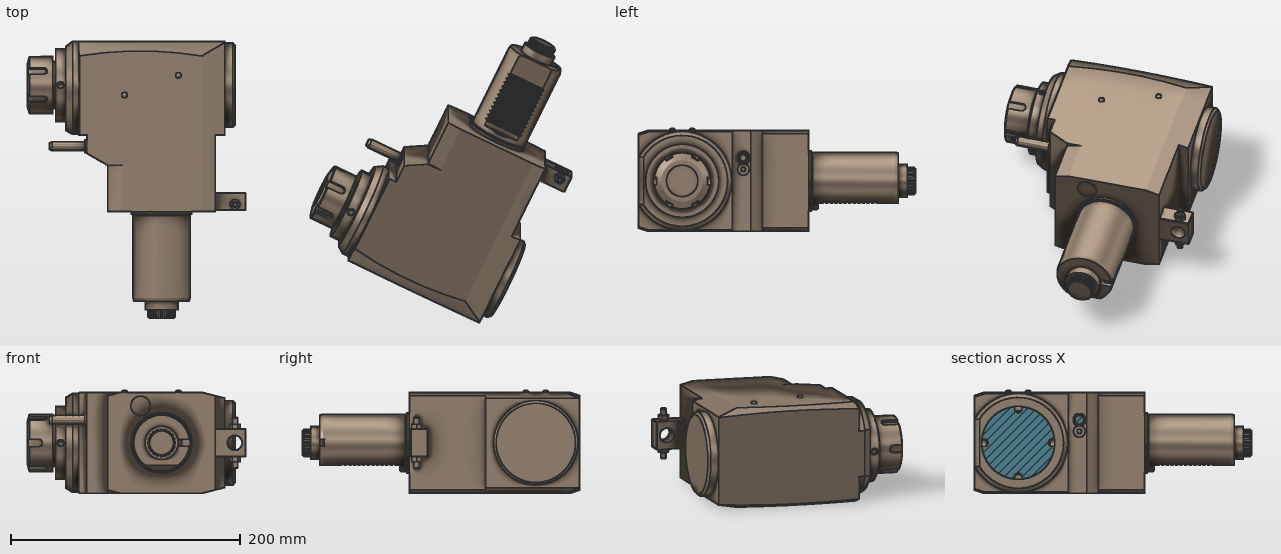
import cadquery as cq
import math


half_height = 44.0
back_y = 148.0
spindle_y = 110.0
head_left_x = -72.0
head_right_x = 55.0
head_front_y = 66.5
waist_left_x = -65.0
waist_corner_y = 50.5
foot_left_x = -47.0
foot_back_y = 40.2
foot_right_x = 46.7

right_bevel_start_x = 35.0
right_bevel_drop = 5.1
foot_bevel_width = 12.3
foot_bevel_drop = 3.0
head_edge_width = 0.7
head_edge_drop = 1.4

back_cone_x = -18.5
back_cone_radius = 327.0
back_bevel_depth = 8.3
back_cone_run_per_drop = 3.0

ring_left_x = -83.3
ring_shoulder_x = -77.4
ring_radius = 43.0
ring_face_radius = 39.5
ring_flat_face_offset = 33.6
flange_left_x = -92.3
flange_radius = 31.8
flange_hole_radius = 2.9
flange_hole_depth = 4.0
flange_hole_cone_depth = 1.7
neck_radius = 20.8
nut_left_x = -116.9
nut_right_x = -94.8
nut_radius = 25.0
nut_mouth_radius = 18.0
nut_face_depth = 1.6
nut_edge = 0.7
mouth_bore_radius = 13.7
mouth_bore_depth = 1.6
nut_slot_width = 6.6
nut_slot_floor_radius = 22.0
side_slot_end_x = -103.8
other_slot_end_x = -99.7
nut_slot_count = 6
cap_right_x = 64.0
cap_radius = 36.7
cap_chamfer = 2.2

collar_radius = 26.4
collar_length = 2.5
shank_radius = 25.0
shank_end_y = -78.0
shank_lead_length = 1.2
shank_lead_depth = 0.4
shank_chamfer_length = 2.8
shank_chamfer_depth = 0.8
shank_flat_z = -19.5
shank_flat_start_y = -8.2
flat_lip_chamfer = 1.2
rack_first_y = -13.8
rack_pitch = 4.0
rack_count = 12
rack_groove_width = 2.6
rack_groove_depth = 1.4
key_slot_width = 6.0
key_slot_depth = 4.0
key_slot_inner_depth = 6.0
key_slot_step_radius = 17.4
journal_radius = 14.4
journal_end_y = -85.6
spline_radius = 11.9
spline_root_radius = 10.5
spline_end_y = -93.0
spline_chamfer = 1.5
spline_tooth_count = 20

pin_y = 56.8
pin_z = 20.0
pin_radius = 4.0
pin_tip_radius = 2.8
pin_tip_x = -97.6
pin_tip_length = 2.4
pin_collar_radius = 5.5
pin_collar_length = 2.0
plug_z = 10.0
plug_radius = 5.1
plug_height = 1.2
plug_hole_radius = 2.0

block_right_x = 73.2
block_front_y = 1.0
block_back_y = 16.2
block_half_height = 12.3
block_chamfer = 0.6
block_hole_x = 63.6
block_hole_radius = 6.4
screw_x = 63.9
screw_y = 6.2
screw_radius = 2.4
screw_tip_chamfer = 0.8
screw_top_z = 22.3
hex_corner_diameter = 9.3
hex_height = 4.0

stud_places = [(-32.3, 101.3), (14.6, 118.5)]
stud_radius = 2.4
stud_height = 1.6
recess_x = -18.3
recess_z = 32.2
recess_radius = 8.5
recess_depth = 1.0

overlap = 2.0


def turned_on_spindle(profile):
    """Revolve (x, radius) points about the spindle axis."""
    turned = cq.Workplane("XY").polyline(profile).close().revolve(360, (0, 0, 0), (1, 0, 0))
    return turned.translate((0, spindle_y, 0))


def turned_on_shank(profile):
    """Revolve (radius, y) points about the shank axis."""
    return cq.Workplane("XY").polyline(profile).close().revolve(360, (0, 0, 0), (0, 1, 0))


def x_cylinder(start_x, end_x, y, z, radius):
    start = cq.Vector(start_x, y, z)
    return cq.Workplane(cq.Solid.makeCylinder(radius, end_x - start_x, start, cq.Vector(1, 0, 0)))


def box_between(low, high):
    size = [b - a for a, b in zip(low, high)]
    return cq.Workplane("XY").box(*size, centered=False).translate(low)


def edge_wedge(start, end, start_y, end_y):
    """Upper-edge bevel between (x, z) points start and end, outer corner included."""
    corner = (end[0], start[1])
    wedge = cq.Workplane("XZ").polyline([start, corner, end]).close().extrude(start_y - end_y)
    return wedge.translate((0, start_y, 0))


def make_housing():
    outline = [
        (head_left_x, back_y),
        (head_right_x, back_y),
        (head_right_x, head_front_y),
        (foot_right_x, head_front_y),
        (foot_right_x, 0),
        (foot_left_x, 0),
        (foot_left_x, foot_back_y),
        (waist_left_x, waist_corner_y),
        (waist_left_x, head_front_y),
        (head_left_x, head_front_y),
    ]
    housing = cq.Workplane("XY").polyline(outline).close().extrude(half_height, both=True)

    equator_radius = back_cone_radius + back_cone_run_per_drop * half_height
    cone_profile = [
        (0, -half_height),
        (back_cone_radius, -half_height),
        (equator_radius, 0),
        (back_cone_radius, half_height),
        (0, half_height),
    ]
    cone = cq.Workplane("XZ").polyline(cone_profile).close().revolve(360, (0, 0, 0), (0, 1, 0))
    cone_y = back_y - back_bevel_depth - back_cone_radius
    housing = housing.intersect(cone.translate((back_cone_x, cone_y, 0)))

    right_bevel = edge_wedge(
        (right_bevel_start_x, half_height),
        (head_right_x, half_height - right_bevel_drop),
        0,
        back_y,
    )
    foot_bevel = edge_wedge(
        (foot_left_x + foot_bevel_width, half_height),
        (foot_left_x, half_height - foot_bevel_drop),
        0,
        foot_back_y,
    )
    head_bevel = edge_wedge(
        (head_left_x + head_edge_width, half_height),
        (head_left_x, half_height - head_edge_drop),
        head_front_y,
        back_y,
    )
    for bevel in (right_bevel, foot_bevel, head_bevel):
        housing = housing.cut(bevel).cut(bevel.mirror("XY"))

    recess = cq.Workplane("XZ").center(recess_x, recess_z).circle(recess_radius).extrude(-recess_depth)
    return housing.cut(recess)


def make_bearing_ring():
    ring = turned_on_spindle([
        (ring_left_x, 0),
        (ring_left_x, ring_face_radius),
        (ring_shoulder_x, ring_radius),
        (head_left_x + overlap, ring_radius),
        (head_left_x + overlap, 0),
    ])
    inner_x = head_left_x + overlap
    outer_y = spindle_y + ring_radius + overlap
    relief = [
        (ring_left_x, spindle_y + ring_flat_face_offset),
        (ring_shoulder_x, back_y),
        (inner_x, back_y),
        (inner_x, outer_y),
        (ring_left_x, outer_y),
    ]
    cutter = cq.Workplane("XY").polyline(relief).close().extrude(ring_radius, both=True)
    return ring.cut(cutter)


def make_flange():
    flange = turned_on_spindle([
        (flange_left_x, 0),
        (flange_left_x, flange_radius),
        (ring_left_x + overlap, flange_radius),
        (ring_left_x + overlap, 0),
    ])
    hole_x = (flange_left_x + ring_left_x) / 2
    floor_radius = flange_radius - flange_hole_depth
    hole_floor = cq.Workplane("XY", origin=(hole_x, spindle_y, floor_radius))
    hole = hole_floor.circle(flange_hole_radius).extrude(2 * flange_hole_depth)
    drill_point = cq.Solid.makeCone(
        flange_hole_radius,
        0,
        flange_hole_cone_depth,
        cq.Vector(hole_x, spindle_y, floor_radius),
        cq.Vector(0, 0, -1),
    )
    hole = hole.union(cq.Workplane(drill_point))
    for quarter in range(4):
        flange = flange.cut(hole.rotate((0, spindle_y, 0), (1, spindle_y, 0), 90 * quarter))
    return flange


def make_nut_slot(end_x):
    """Round-ended slot cutter on the -Y side of the nut."""
    radius = nut_slot_width / 2
    open_x = nut_left_x - overlap
    centre_x = end_x - radius
    slot = (
        cq.Workplane("XZ")
        .moveTo(open_x, -radius)
        .lineTo(centre_x, -radius)
        .threePointArc((end_x, 0), (centre_x, radius))
        .lineTo(open_x, radius)
        .close()
        .extrude(nut_radius)
    )
    return slot.translate((0, spindle_y - nut_slot_floor_radius, 0))


def make_collet_nut():
    rim_x = nut_left_x + nut_face_depth
    nut = turned_on_spindle([
        (nut_left_x, 0),
        (nut_left_x, nut_mouth_radius),
        (rim_x, nut_radius - nut_edge),
        (rim_x + nut_edge, nut_radius),
        (nut_right_x, nut_radius),
        (nut_right_x, neck_radius),
        (flange_left_x + overlap, neck_radius),
        (flange_left_x + overlap, 0),
    ])
    for index in range(nut_slot_count):
        on_side = index % (nut_slot_count // 2) == 0
        slot = make_nut_slot(side_slot_end_x if on_side else other_slot_end_x)
        angle = 360 / nut_slot_count * index
        nut = nut.cut(slot.rotate((0, spindle_y, 0), (1, spindle_y, 0), angle))

    bore_end_x = nut_left_x + mouth_bore_depth
    return nut.cut(x_cylinder(nut_left_x, bore_end_x, spindle_y, 0, mouth_bore_radius))


def make_bearing_cap():
    return turned_on_spindle([
        (head_right_x - overlap, 0),
        (head_right_x - overlap, cap_radius),
        (cap_right_x - cap_chamfer, cap_radius),
        (cap_right_x, cap_radius - cap_chamfer),
        (cap_right_x, 0),
    ])


def make_shank():
    shank = turned_on_shank([
        (0, overlap),
        (collar_radius, overlap),
        (collar_radius, -collar_length),
        (shank_radius - shank_lead_depth, -collar_length),
        (shank_radius, -collar_length - shank_lead_length),
        (shank_radius, shank_end_y + shank_chamfer_length),
        (shank_radius - shank_chamfer_depth, shank_end_y),
        (journal_radius, shank_end_y),
        (journal_radius, journal_end_y),
        (0, journal_end_y),
    ])
    flat_profile = [
        (shank_end_y, shank_flat_z),
        (shank_flat_start_y, shank_flat_z),
        (shank_flat_start_y, -shank_radius + flat_lip_chamfer),
        (shank_flat_start_y + flat_lip_chamfer, -shank_radius),
        (shank_end_y, -shank_radius),
    ]
    flat = cq.Workplane("YZ").polyline(flat_profile).close().extrude(shank_radius, both=True)
    shank = shank.cut(flat)

    half_groove = rack_groove_width / 2
    groove_profile = [
        (-half_groove, shank_flat_z),
        (0, shank_flat_z + rack_groove_depth),
        (half_groove, shank_flat_z),
    ]
    groove = cq.Workplane("YZ").polyline(groove_profile).close().extrude(shank_radius, both=True)
    for index in range(rack_count):
        shank = shank.cut(groove.translate((0, rack_first_y - rack_pitch * index, 0)))

    key_slot = box_between(
        (journal_radius, shank_end_y, -key_slot_width / 2),
        (shank_radius, shank_end_y + key_slot_depth, key_slot_width / 2),
    )
    deep_end = box_between(
        (journal_radius, shank_end_y, -key_slot_width / 2),
        (key_slot_step_radius, shank_end_y + key_slot_inner_depth, key_slot_width / 2),
    )
    return shank.cut(key_slot).cut(deep_end)


def make_spline():
    spline = turned_on_shank([
        (0, journal_end_y + overlap),
        (spline_radius, journal_end_y + overlap),
        (spline_radius, spline_end_y + spline_chamfer),
        (spline_radius - spline_chamfer, spline_end_y),
        (0, spline_end_y),
    ])
    gap_half_width = math.pi * spline_radius / spline_tooth_count / 2
    gap = box_between(
        (spline_root_radius, spline_end_y, -gap_half_width),
        (spline_radius + overlap, journal_end_y, gap_half_width),
    )
    for index in range(spline_tooth_count):
        angle = 360 / spline_tooth_count * (index + 0.5)
        spline = spline.cut(gap.rotate((0, 0, 0), (0, 1, 0), angle))
    return spline


def make_coolant_pin():
    inner_x = waist_left_x + overlap
    collar_x = waist_left_x - pin_collar_length
    pin = x_cylinder(pin_tip_x + pin_tip_length, inner_x, pin_y, pin_z, pin_radius)
    tip = cq.Solid.makeCone(
        pin_tip_radius,
        pin_radius,
        pin_tip_length,
        cq.Vector(pin_tip_x, pin_y, pin_z),
        cq.Vector(1, 0, 0),
    )
    collar = x_cylinder(collar_x, inner_x, pin_y, pin_z, pin_collar_radius)
    return pin.union(cq.Workplane(tip)).union(collar)


def make_plug():
    face_x = waist_left_x - plug_height
    plug = x_cylinder(face_x, waist_left_x + overlap, pin_y, plug_z, plug_radius)
    return plug.cut(x_cylinder(face_x, waist_left_x, pin_y, plug_z, plug_hole_radius))


def make_clamp_block():
    block = box_between(
        (foot_right_x - overlap, block_front_y, -block_half_height),
        (block_right_x, block_back_y, block_half_height),
    )
    block = block.faces(">X or <Y").edges("not <X").chamfer(block_chamfer)
    hex_top_z = block_half_height + hex_height
    base = cq.Workplane("XY", origin=(screw_x, screw_y, block_half_height - overlap))
    hexagon = base.polygon(6, hex_corner_diameter).extrude(hex_height + overlap)
    screw = (
        cq.Workplane("XY", origin=(screw_x, screw_y, hex_top_z - overlap))
        .circle(screw_radius)
        .extrude(screw_top_z - hex_top_z + overlap)
        .faces(">Z")
        .chamfer(screw_tip_chamfer)
    )
    fastener = hexagon.union(screw)
    block = block.union(fastener).union(fastener.mirror("XY"))
    bore = (
        cq.Workplane("XZ", origin=(block_hole_x, block_back_y, 0))
        .circle(block_hole_radius)
        .extrude(block_back_y - block_front_y)
    )
    return block.cut(bore)


def make_stud(x, y):
    """Domed stud rising from the top face."""
    base = cq.Workplane("XY", origin=(x, y, half_height - overlap))
    stud = base.circle(stud_radius).extrude(overlap + stud_height)
    return stud.faces(">Z").edges().fillet(stud_height)


result = make_housing()
result = result.union(make_bearing_ring())
result = result.union(make_flange())
result = result.union(make_collet_nut())
result = result.union(make_bearing_cap())
result = result.union(make_shank())
result = result.union(make_spline())
result = result.union(make_coolant_pin())
result = result.union(make_plug())
result = result.union(make_clamp_block())
for stud_x, stud_y in stud_places:
    result = result.union(make_stud(stud_x, stud_y))